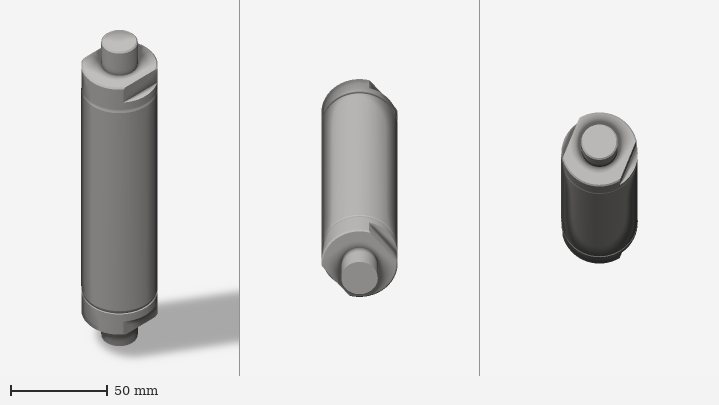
import cadquery as cq

total_length = 200.0
body_diameter = 39.8
pin_diameter = 19.0
pin_length = 15.8
pin_chamfer = 0.8

cap_length = 14.6
cap_chamfer = 0.8
flat_spacing = 32.0
flat_height = 9.6

groove_depth = 0.8
groove_slope_length = 1.6
tube_edge_length = 0.6
tube_edge_depth = 0.2

body_radius = body_diameter / 2
pin_radius = pin_diameter / 2
half_length = total_length / 2
shoulder_height = half_length - pin_length
groove_height = shoulder_height - cap_length
slope_end_height = groove_height - groove_slope_length
tube_height = slope_end_height - tube_edge_length


def turned_body():
    """Turned tube and caps, with the same steps above and below the middle plane."""
    upper_profile = [
        (body_radius, tube_height),
        (body_radius - tube_edge_depth, slope_end_height),
        (body_radius - groove_depth, groove_height),
        (body_radius, groove_height),
        (body_radius, shoulder_height - cap_chamfer),
        (body_radius - cap_chamfer, shoulder_height),
        (0, shoulder_height),
    ]
    lower_profile = [(radius, -height) for radius, height in reversed(upper_profile)]
    return (
        cq.Workplane("XZ")
        .polyline(lower_profile + upper_profile)
        .close()
        .revolve(360, (0, 0), (0, 1))
    )


def flat_cutter(side, end):
    """Block that removes one wrench flat: side picks +X or -X, end picks the +Z or -Z cap."""
    center_x = side * (flat_spacing + body_diameter) / 2
    center_z = end * (shoulder_height - flat_height / 2)
    block = cq.Workplane("XY").box(body_diameter, body_diameter, flat_height)
    return block.translate((center_x, 0, center_z))


body = turned_body()
for side in (-1, 1):
    for end in (-1, 1):
        body = body.cut(flat_cutter(side, end))

pin = (
    cq.Workplane("XY")
    .circle(pin_radius)
    .extrude(half_length, both=True)
    .faces(">Z")
    .chamfer(pin_chamfer)
)

result = body.union(pin)